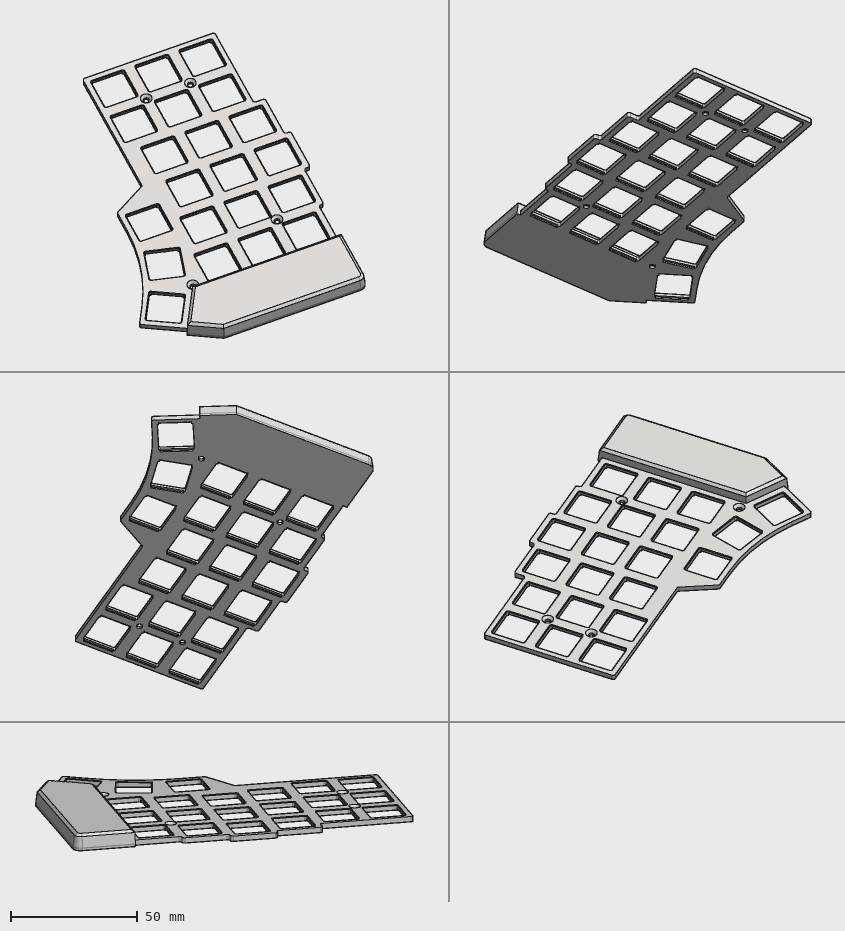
import cadquery as cq
import math


key_pitch = 19.0
half_pitch = key_pitch / 2
row_count = 3
column_stagger = 2.4
column_steps = [0, 0, 2, 3, 2, 1]
column_count = len(column_steps)

opening_side = 14.0
opening_corner_radius = 0.7
opening_chamfer = 0.3

clip_relief_length = 12.9
clip_relief_depth = 0.8
clip_relief_height = 0.7

plate_thickness = 2.2
plate_corner_radius = 1.0
plate_bottom_y = 28.5
plate_top_ys = [85.5, 85.5, 90.4, 93.0, 90.4, 88.3]

thumb_keys = [((75.9, 23.6), 0), ((97.2, 20.8), 15), ((117.0, 12.4), 30)]
thumb_angle = math.radians(thumb_keys[-1][1])
first_thumb_x, first_thumb_y = thumb_keys[0][0]
thumb_left_x = first_thumb_x - half_pitch
thumb_bottom_y = first_thumb_y - half_pitch
plate_tip = (120.7, -0.4)

screw_diameter = 2.4
countersink_diameter = 4.6
countersink_angle = 90
screw_points = [
    (key_pitch, plate_bottom_y + key_pitch),
    (key_pitch, plate_bottom_y + 2 * key_pitch),
    (95.0, 70.3),
    (111.2, 26.8),
]

cover_height = 6.7
cover_left_x = 114.4
cover_right_x = 139.0
cover_back_y = 90.0
cover_left_bottom_y = 25.3
cover_right_bottom_y = 28.0
cover_base_height = 1.1
cover_corner_radius = 3.0
cover_draft = 0.5
cover_chamfer_width = 1.3
cover_chamfer_height = 1.0


def plate_outline():
    """Stepped plate outline, curved along the front of the thumb keys."""
    tip_x, tip_y = plate_tip
    slope = math.tan(thumb_angle)
    diagonal_top_x = thumb_left_x - (plate_bottom_y - thumb_bottom_y) * slope

    tangent_length = tip_x - first_thumb_x - (thumb_bottom_y - tip_y) / slope
    arc_radius = tangent_length / math.tan(thumb_angle / 2)

    def arc_point(angle):
        return (
            first_thumb_x + arc_radius * math.sin(angle),
            thumb_bottom_y - arc_radius * (1 - math.cos(angle)),
        )

    right_edge_top_y = cover_left_bottom_y
    right_edge_top_x = tip_x + (right_edge_top_y - tip_y) * slope

    outline = (
        cq.Workplane("XY")
        .moveTo(0, plate_bottom_y)
        .lineTo(diagonal_top_x, plate_bottom_y)
        .lineTo(thumb_left_x, thumb_bottom_y)
        .lineTo(first_thumb_x, thumb_bottom_y)
        .threePointArc(arc_point(thumb_angle / 2), arc_point(thumb_angle))
        .lineTo(tip_x, tip_y)
        .lineTo(right_edge_top_x, right_edge_top_y)
        .lineTo(right_edge_top_x, plate_top_ys[-1])
    )
    for column in range(column_count - 1, 0, -1):
        if plate_top_ys[column] != plate_top_ys[column - 1]:
            step_x = column * key_pitch
            outline = outline.lineTo(step_x, plate_top_ys[column])
            outline = outline.lineTo(step_x, plate_top_ys[column - 1])
    return outline.lineTo(0, plate_top_ys[0]).close()


def plate():
    """Flat plate with every upright corner rounded that is not hidden by the cover."""
    body = plate_outline().extrude(plate_thickness)
    left_of_cover = cq.selectors.BoxSelector(
        (-key_pitch, 0, 0), (cover_left_x, max(plate_top_ys) + key_pitch, plate_thickness)
    )
    tip = cq.selectors.NearestToPointSelector((*plate_tip, plate_thickness / 2))
    body = body.edges("|Z").edges(left_of_cover).fillet(plate_corner_radius)
    return body.edges("|Z").edges(tip).fillet(plate_corner_radius)


def switch_opening(centre, turn):
    """Cutter for one switch opening, chamfered at the top face and undercut for the clips."""
    shaft = cq.Sketch().rect(opening_side, opening_side).vertices().fillet(opening_corner_radius)
    rim_side = opening_side + 2 * opening_chamfer
    rim_radius = opening_corner_radius + opening_chamfer
    rim = cq.Sketch().rect(rim_side, rim_side).vertices().fillet(rim_radius)
    chamfer_z = plate_thickness - opening_chamfer
    cutter = cq.Workplane("XY").placeSketch(shaft).extrude(plate_thickness)
    flare = (
        cq.Workplane("XY", origin=(0, 0, chamfer_z))
        .placeSketch(shaft, rim.moved(cq.Location(cq.Vector(0, 0, opening_chamfer))))
        .loft(ruled=True)
    )
    relief_span = opening_side + 2 * clip_relief_depth
    relief = cq.Workplane("XY").rect(relief_span, clip_relief_length).extrude(clip_relief_height)
    cutter = cutter.union(flare).union(relief)
    return cutter.rotate((0, 0, 0), (0, 0, 1), -turn).translate((*centre, 0))


def key_places():
    """Centre and clockwise turn of every key, grid columns first."""
    grid = []
    for column, steps in enumerate(column_steps):
        key_x = half_pitch + column * key_pitch
        first_key_y = plate_bottom_y + half_pitch + steps * column_stagger
        for row in range(row_count):
            grid.append(((key_x, first_key_y + row * key_pitch), 0))
    return grid + thumb_keys


def cover_section(height, outer_inset, inner_inset):
    """Cover outline at one height, with its outer and plate-side edges moved inward."""
    left = cover_left_x + inner_inset
    right = cover_right_x - outer_inset
    back = cover_back_y - outer_inset
    corner_radius = cover_corner_radius - outer_inset
    slope = math.tan(thumb_angle)
    slant = math.cos(thumb_angle)
    near_offset = cover_left_bottom_y + slope * cover_left_x + inner_inset / slant
    far_offset = cover_right_x - slope * cover_right_bottom_y - outer_inset / slant
    tip_x = (far_offset + slope * near_offset) / (1 + slope**2)
    arc_gap = corner_radius * (1 - math.sqrt(0.5))
    return (
        cq.Workplane("XY", origin=(0, 0, height))
        .moveTo(left, back)
        .lineTo(left, near_offset - slope * left)
        .lineTo(tip_x, near_offset - slope * tip_x)
        .lineTo(right, (right - far_offset) / slope)
        .lineTo(right, back - corner_radius)
        .threePointArc((right - arc_gap, back - arc_gap), (right - corner_radius, back))
        .close()
        .val()
    )


def cover():
    """Upright base, leaning outer walls above it, and a chamfer around the top."""
    chamfer_z = cover_height - cover_chamfer_height
    sections = [
        cover_section(0, 0, 0),
        cover_section(cover_base_height, 0, 0),
        cover_section(chamfer_z, cover_draft, 0),
        cover_section(cover_height, cover_draft + cover_chamfer_width, cover_chamfer_width),
    ]
    return cq.Workplane(cq.Solid.makeLoft(sections, True))


def screw_hole(point):
    """Cutter for one through hole with a conical countersink at the top face."""
    screw_radius = screw_diameter / 2
    rim_radius = countersink_diameter / 2
    sink_depth = (rim_radius - screw_radius) / math.tan(math.radians(countersink_angle / 2))
    return (
        cq.Workplane("XZ")
        .polyline([
            (0, 0),
            (screw_radius, 0),
            (screw_radius, plate_thickness - sink_depth),
            (rim_radius, plate_thickness),
            (0, plate_thickness),
        ])
        .close()
        .revolve(360, (0, 0, 0), (0, 1, 0))
        .translate((*point, 0))
    )


result = plate()
for key_centre, key_turn in key_places():
    result = result.cut(switch_opening(key_centre, key_turn))
for screw_point in screw_points:
    result = result.cut(screw_hole(screw_point))
result = result.union(cover())